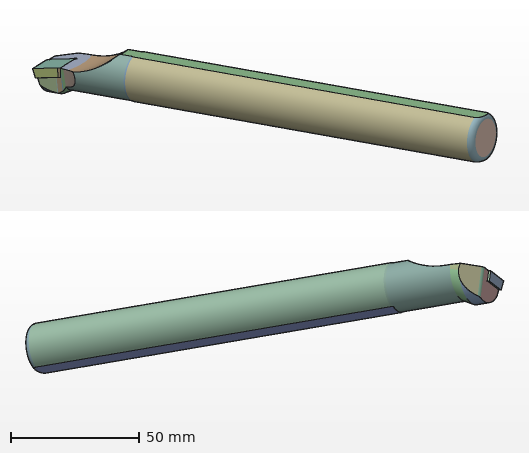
import cadquery as cq
import math

LENGTH = 200
SHANK_RADIUS = 10
NECK_RADIUS = 9.8
FLAT_WIDTH = 8.5
FLAT_HEIGHT = math.sqrt(SHANK_RADIUS**2 - (FLAT_WIDTH / 2)**2)
END_ROUND = 2.5
NECK_END = 40
STEP_LENGTH = 0.8

HEAD_RADIUS = 10.8
HEAD_CENTER_Y = -1.3
HEAD_CENTER_Z = -0.72
HEAD_ROUND_END = 7.8
HEAD_FADE_END = 11.5

FACE_TILT = 5
FACE_HEIGHT = 1.3
RELIEF_ANGLE = 7
TRIM_DEPTH = 16
TRIM_MARGIN = 16

NOSE_X = 0.7
NOSE_CORNER_Y = 2.5
NOSE_ROUND = 2.0
FLANK_Y = -8.5
FLANK_RIDGE_X = 9.8
FLANK_RIDGE_Y = -8.0
FLANK_FLAT_END_X = 11.5
FLANK_RUNOUT_X = 18.0
FLANK_RUNOUT_Y = -10.5
FLANK_SAG = 0.5
TRIM_END_X = 24

SCOOP_RADIUS = 27.0
SCOOP_START_X = 15.2
SCOOP_AXIS_X = -14.8

INSERT_SIDE = 11.0
INSERT_SLOPE = 29
INSERT_TIP_Y = -13.0
INSERT_THICKNESS = 4.2
SEAT_INSET = 0.2
CORNER_RELIEF_RADIUS = 0.5

face_plane = cq.Plane(
    origin=(0, 0, FACE_HEIGHT), xDir=(1, 0, 0),
    normal=(0, -math.sin(math.radians(FACE_TILT)), math.cos(math.radians(FACE_TILT))),
)
slope = math.tan(math.radians(INSERT_SLOPE))


insert_width = INSERT_SIDE * math.cos(math.radians(INSERT_SLOPE))
insert_back_y = INSERT_TIP_Y + insert_width * slope + INSERT_SIDE


def make_insert():
    outline = [
        (0, INSERT_TIP_Y),
        (insert_width, insert_back_y - INSERT_SIDE),
        (insert_width, insert_back_y),
        (0, INSERT_TIP_Y + INSERT_SIDE),
    ]
    return cq.Workplane(face_plane).polyline(outline).close().extrude(-INSERT_THICKNESS, taper=RELIEF_ANGLE)


def make_shank():
    """Full-size round bar with the short cone down to the neck."""
    profile = [
        (NECK_END, 0),
        (NECK_END, NECK_RADIUS),
        (NECK_END + STEP_LENGTH, SHANK_RADIUS),
        (LENGTH, SHANK_RADIUS),
        (LENGTH, 0),
    ]
    bar = cq.Workplane("XY").polyline(profile).close().revolve(360, (0, 0), (1, 0))
    return bar.faces(">X").edges().fillet(END_ROUND)


def make_head_blank():
    """Off-centre round head fading into the neck."""
    head = cq.Workplane("YZ").center(HEAD_CENTER_Y, HEAD_CENTER_Z).circle(HEAD_RADIUS).extrude(HEAD_ROUND_END)
    fade = (
        cq.Workplane("YZ", origin=(HEAD_ROUND_END, 0, 0))
        .center(HEAD_CENTER_Y, HEAD_CENTER_Z).circle(HEAD_RADIUS)
        .workplane(offset=HEAD_FADE_END - HEAD_ROUND_END)
        .center(-HEAD_CENTER_Y, -HEAD_CENTER_Z).circle(NECK_RADIUS)
        .loft()
    )
    neck = make_neck(HEAD_FADE_END, TRIM_END_X)
    return head.union(fade).union(neck)


def make_neck(start, end):
    return cq.Workplane("YZ", origin=(start, 0, 0)).circle(NECK_RADIUS).extrude(end - start)


def head_outline():
    """Closed outline of the head, running from the nose round the flank to the bevel."""
    seat_tip_y = INSERT_TIP_Y + SEAT_INSET + NOSE_X * slope
    seat_end_x = NOSE_X + (FLANK_Y - seat_tip_y) / slope
    back_y = NOSE_CORNER_Y + TRIM_MARGIN
    runout_middle = (
        (FLANK_FLAT_END_X + FLANK_RUNOUT_X) / 2,
        (FLANK_Y + FLANK_RUNOUT_Y) / 2 + FLANK_SAG,
    )
    far_x = TRIM_END_X + TRIM_MARGIN
    bevel_end_x = NOSE_X + TRIM_MARGIN
    return (
        cq.Workplane(face_plane)
        .moveTo(NOSE_X, NOSE_CORNER_Y)
        .lineTo(NOSE_X, seat_tip_y)
        .lineTo(seat_end_x, FLANK_Y)
        .lineTo(FLANK_RIDGE_X, FLANK_RIDGE_Y)
        .lineTo(FLANK_FLAT_END_X, FLANK_Y)
        .threePointArc(runout_middle, (FLANK_RUNOUT_X, FLANK_RUNOUT_Y))
        .lineTo(FLANK_RUNOUT_X, -TRIM_MARGIN)
        .lineTo(far_x, -TRIM_MARGIN)
        .lineTo(far_x, back_y)
        .lineTo(bevel_end_x, back_y)
        .close()
    )


def make_head():
    below = head_outline().extrude(-TRIM_DEPTH, taper=RELIEF_ANGLE)
    above = head_outline().extrude(TRIM_MARGIN)
    lean = TRIM_DEPTH / 2 * math.tan(math.radians(RELIEF_ANGLE))
    nose_point = face_plane.toWorldCoords((NOSE_X + lean, NOSE_CORNER_Y, -TRIM_DEPTH / 2)).toTuple()
    nose_edge = cq.selectors.NearestToPointSelector(nose_point)
    below = below.edges(nose_edge).fillet(NOSE_ROUND)
    return make_head_blank().intersect(below.union(above))


def make_scoop():
    """Space above the tilted face, rising along the arc towards the shank."""
    section = cq.Plane(
        origin=face_plane.toWorldCoords((SCOOP_AXIS_X, 0, 0)).toTuple(),
        xDir=(1, 0, 0), normal=face_plane.yDir * -1,
    )
    start = SCOOP_START_X - SCOOP_AXIS_X
    diagonal = SCOOP_RADIUS * math.sqrt(0.5)
    return (
        cq.Workplane(section)
        .lineTo(start, 0)
        .threePointArc((start + diagonal, SCOOP_RADIUS - diagonal), (start + SCOOP_RADIUS, SCOOP_RADIUS))
        .lineTo(0, SCOOP_RADIUS)
        .close()
        .revolve(360, (0, 0), (0, 1))
    )


def cut_flats(bar):
    """Flat along the whole top; flat along the shank only below."""
    size = 2 * SHANK_RADIUS
    top = cq.Workplane("XY", origin=(0, 0, FLAT_HEIGHT)).rect(2 * LENGTH, size).extrude(size)
    bottom = (
        cq.Workplane("XY", origin=((NECK_END + LENGTH) / 2, 0, -FLAT_HEIGHT))
        .rect(LENGTH - NECK_END, size).extrude(-size)
    )
    return bar.cut(top).cut(bottom)


def make_corner_relief():
    corner = cq.Workplane(face_plane).center(insert_width, insert_back_y)
    return corner.circle(CORNER_RELIEF_RADIUS).extrude(-INSERT_THICKNESS)


def make_holder(insert):
    bar = make_head().union(make_neck(TRIM_END_X, NECK_END)).union(make_shank())
    bar = cut_flats(bar).cut(make_scoop())
    return bar.cut(make_corner_relief()).cut(insert)


insert = make_insert()
holder = make_holder(insert)
result = cq.Compound.makeCompound([holder.val(), insert.val()])